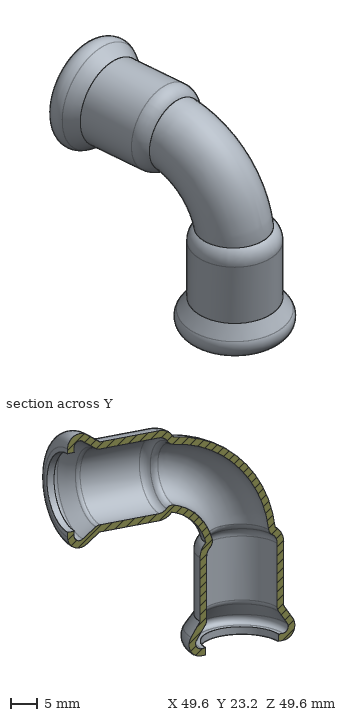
import cadquery as cq
import math

overall_length = 49.6
bead_diameter = 23.15
axis_reach = overall_length - bead_diameter / 2

bead_round = 2.7
collar_diameter = 18.3
collar_start = 7.05
collar_end = 19.95
shoulder_round = 3.75

mouth_diameter = 15.8
socket_bore = 15.2

tube_diameter = 15.05
bend_start = collar_end
bend_radius = axis_reach - bend_start

wall = (collar_diameter - socket_bore) / 2
tube_bore = tube_diameter - 2 * wall
bead_centre_radius = bead_diameter / 2 - bead_round


collar_radius = collar_diameter / 2

cone_run = collar_start - bead_round
cone_rise = collar_radius - bead_centre_radius
cone_angle = math.atan2(cone_rise, cone_run) + math.acos(bead_round / math.hypot(cone_run, cone_rise))


def polar(radius, depth, length, angle):
    """Point at a length and angle (from the mouth direction inward) off a (radius, depth) point."""
    return radius + length * math.sin(angle), depth + length * math.cos(angle)


def shoulder(profile, start_radius, round_radius):
    """Continue a profile with a quarter-round shoulder at the collar end and close it on the axis."""
    centre_radius = start_radius - round_radius
    return (
        profile.lineTo(start_radius, collar_end)
        .threePointArc(
            polar(centre_radius, collar_end, round_radius, math.pi / 4),
            (centre_radius, collar_end + round_radius),
        )
        .lineTo(0, collar_end + round_radius)
        .close()
        .revolve(360, (0, 0), (0, 1))
    )


def socket_outside():
    """Bead, cone, collar and rounded shoulder, revolved about Z with the mouth at Z = 0."""
    profile = (
        cq.Workplane("XZ")
        .lineTo(bead_centre_radius, 0)
        .threePointArc(
            (bead_diameter / 2, bead_round),
            polar(bead_centre_radius, bead_round, bead_round, cone_angle),
        )
        .lineTo(collar_radius, collar_start)
    )
    return shoulder(profile, collar_radius, shoulder_round)


def socket_inside():
    """Mouth, seal groove, socket bore and inner shoulder, one wall inside the outer surface."""
    mouth_radius = mouth_diameter / 2
    bore_radius = socket_bore / 2
    groove_round = bead_round - wall
    neck_middle_angle = (cone_angle + math.pi / 2) / 2
    profile = (
        cq.Workplane("XZ")
        .lineTo(mouth_radius, 0)
        .lineTo(mouth_radius, wall)
        .lineTo(bead_centre_radius, wall)
        .threePointArc(
            (bead_centre_radius + groove_round, bead_round),
            polar(bead_centre_radius, bead_round, groove_round, cone_angle),
        )
        .lineTo(*polar(collar_radius, collar_start, -wall, cone_angle))
        .threePointArc(
            polar(collar_radius, collar_start, -wall, neck_middle_angle),
            (bore_radius, collar_start),
        )
    )
    return shoulder(profile, bore_radius, shoulder_round - wall)


def bend(diameter):
    """Quarter-turn round bar joining the two socket axes."""
    path = (
        cq.Workplane("XZ")
        .moveTo(0, bend_start - axis_reach)
        .radiusArc((bend_start - axis_reach, 0), -bend_radius)
    )
    return (
        cq.Workplane("XY", origin=(0, 0, bend_start - axis_reach))
        .circle(diameter / 2)
        .sweep(path)
    )


def at_both_ends(body):
    """Copies of a socket body facing -Z and -X, with the axes crossing at the origin."""
    lower = body.translate((0, 0, -axis_reach))
    side = lower.rotate((0, 0, 0), (0, 1, 0), 90)
    return lower.union(side)


outside = at_both_ends(socket_outside()).union(bend(tube_diameter))
inside = at_both_ends(socket_inside()).union(bend(tube_bore))

edge_clearance = 0.5
edge_search_start = collar_end + edge_clearance - axis_reach
edge_search_end = collar_end + shoulder_round - axis_reach
side_shoulder = cq.selectors.BoxSelector(
    (edge_search_start, -collar_radius, -collar_radius),
    (edge_search_end, collar_radius, collar_radius),
    boundingbox=True,
)
lower_shoulder = cq.selectors.BoxSelector(
    (-collar_radius, -collar_radius, edge_search_start),
    (collar_radius, collar_radius, edge_search_end),
    boundingbox=True,
)
for selector in (side_shoulder, lower_shoulder):
    inside = inside.edges(selector).fillet(wall)
result = outside.cut(inside)